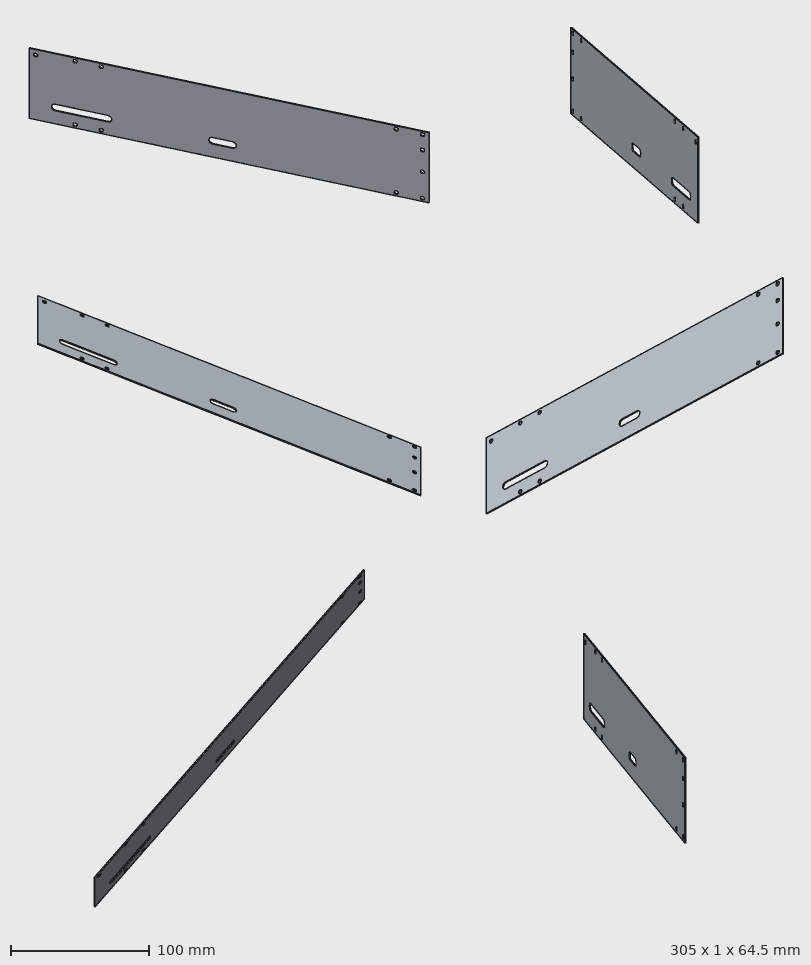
import cadquery as cq

LENGTH = 305.0
HEIGHT = 64.5
THICKNESS = 1.0
LEFT = -LENGTH / 2
RIGHT = LENGTH / 2
TOP = HEIGHT / 2
BOTTOM = -HEIGHT / 2

HOLE_DIAMETER = 3.2
HOLE_PITCH = 20.0
EDGE_ROW_INSET = 3.0
LEFT_PAIR_INSET = 35.0
RIGHT_COLUMN_INSET = 5.0
SIDE_PAIR_TOP_DROP = 17.25
CORNER_INSET_X = 5.0
CORNER_INSET_Z = 5.0

SLOT_WIDTH = 6.0
SLOT_RISE = 15.0
LONG_SLOT_LENGTH = 46.0
LONG_SLOT_CENTER = 40.0
SHORT_SLOT_LENGTH = 21.0
SHORT_SLOT_CENTER = 147.5


def make_plate():
    return cq.Workplane("XY").box(LENGTH, THICKNESS, HEIGHT)


def hole_centers():
    """Return the (x, z) centres of all round holes."""
    left_pair_x = LEFT + LEFT_PAIR_INSET
    right_column_x = RIGHT - RIGHT_COLUMN_INSET
    row_xs = (
        left_pair_x,
        left_pair_x + HOLE_PITCH,
        right_column_x - HOLE_PITCH,
        right_column_x,
    )
    row_zs = (TOP - EDGE_ROW_INSET, BOTTOM + EDGE_ROW_INSET)
    edge_rows = [(x, z) for x in row_xs for z in row_zs]

    side_pair_top_z = TOP - SIDE_PAIR_TOP_DROP
    side_pair = [
        (right_column_x, side_pair_top_z),
        (right_column_x, side_pair_top_z - HOLE_PITCH),
    ]
    corner_hole = (LEFT + CORNER_INSET_X, TOP - CORNER_INSET_Z)
    return edge_rows + side_pair + [corner_hole]


def cut_holes(plate):
    cutters = (
        cq.Workplane("XZ")
        .pushPoints(hole_centers())
        .circle(HOLE_DIAMETER / 2)
        .extrude(THICKNESS, both=True)
    )
    return plate.cut(cutters)


def cut_slot(plate, center_from_left, length):
    cutter = (
        cq.Workplane("XZ")
        .center(LEFT + center_from_left, BOTTOM + SLOT_RISE)
        .slot2D(length, SLOT_WIDTH)
        .extrude(THICKNESS, both=True)
    )
    return plate.cut(cutter)


result = make_plate()
result = cut_holes(result)
result = cut_slot(result, LONG_SLOT_CENTER, LONG_SLOT_LENGTH)
result = cut_slot(result, SHORT_SLOT_CENTER, SHORT_SLOT_LENGTH)